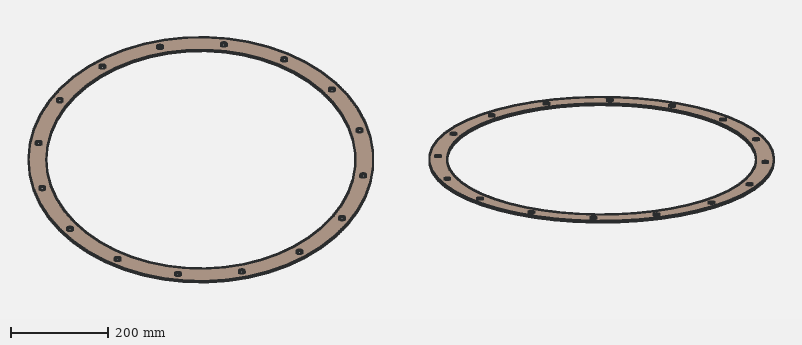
import cadquery as cq

outer_diameter = 709.0
inner_diameter = 635.0
thickness = 4.0

hole_count = 16
hole_diameter = 12.0
bolt_circle_diameter = 673.5

ring = (
    cq.Workplane("XY")
    .circle(outer_diameter / 2)
    .circle(inner_diameter / 2)
    .extrude(thickness)
)

result = (
    ring.faces(">Z")
    .workplane(origin=(0, 0, thickness))
    .polarArray(bolt_circle_diameter / 2, 0, 360, hole_count)
    .hole(hole_diameter)
)